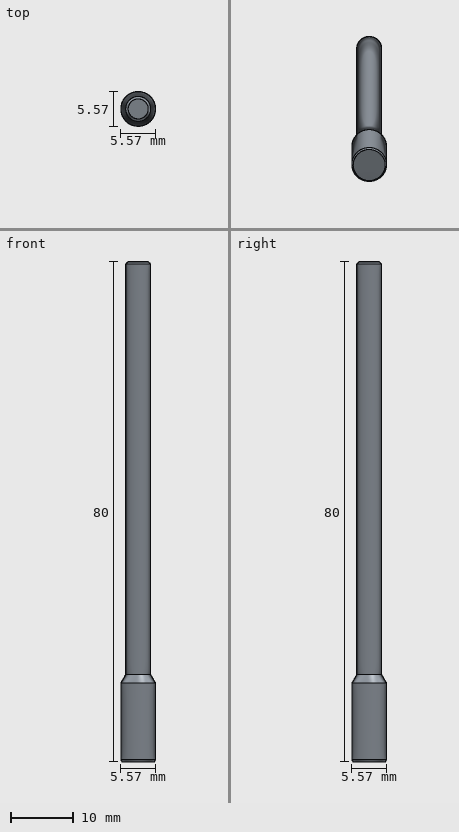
import cadquery as cq
import math

total_length = 80.0
shank_diameter = 4.0
head_diameter = 5.57

head_length = 14.0
bevel_angle = 30.0
lower_bevel_height = 0.4

shank_chamfer = 0.4

head_radius = head_diameter / 2
shank_radius = shank_diameter / 2
shank_length = total_length - head_length

bevel_slope = math.tan(math.radians(bevel_angle))
cone_height = (head_radius - shank_radius) / bevel_slope
cone_base = head_length - cone_height
lower_face_radius = head_radius - lower_bevel_height * bevel_slope


def make_head():
    """Turned head standing on Z = 0, narrowing to the shank diameter at its top."""
    half_profile = [
        (0, 0),
        (lower_face_radius, 0),
        (head_radius, lower_bevel_height),
        (head_radius, cone_base),
        (shank_radius, head_length),
        (0, head_length),
    ]
    return cq.Workplane("XZ").polyline(half_profile).close().revolve(360, (0, 0), (0, 1))


def make_shank():
    """Round rod butted on the top of the head, chamfered at its free end."""
    return (
        cq.Workplane("XY", origin=(0, 0, head_length))
        .circle(shank_radius)
        .extrude(shank_length)
        .faces(">Z")
        .chamfer(shank_chamfer)
    )


head = make_head()
shank = make_shank()

result = cq.Compound.makeCompound([head.val(), shank.val()])